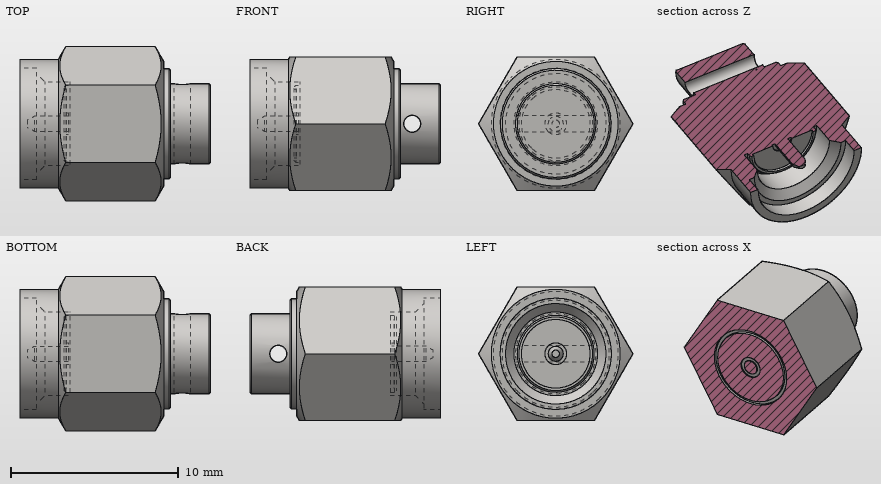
import cadquery as cq
import math


hex_start = 2.3
hex_end = 8.6
flange_end = 9.0
total_length = 11.4

collar_diameter = 7.7
hex_across_flats = 8.0
hex_across_corners = hex_across_flats / math.cos(math.radians(30))
hex_chamfer_angle = 30.0
hex_front_face_diameter = collar_diameter
hex_rear_face_diameter = 7.45
envelope_clearance = 0.1
flange_diameter = 6.6
barrel_diameter = 4.8
edge_chamfer = 0.1

cross_hole_diameter = 1.0
cross_hole_x = 9.7

mouth_diameter = 6.65
mouth_depth = 1.0
lead_in_diameter = 6.0
bore_diameter = 5.0
lead_in_length = (lead_in_diameter - bore_diameter) / 2
bore_depth = 3.0

ring_face_x = 2.65
ring_diameter = 4.6
ring_chamfer = 0.1
insulator_diameter = 4.1
insulator_recess = 0.15
pin_clearance_diameter = 1.3
pin_clearance_depth = 0.1
pin_diameter = 0.9
pin_tip_diameter = 0.44
pin_tip_x = 0.45
pin_shoulder_x = 0.88


def cylinder(diameter, start, end):
    """Cylinder on the X axis between two stations."""
    return cq.Workplane("YZ", origin=(start, 0, 0)).circle(diameter / 2).extrude(end - start)


def revolve_about_axis(points):
    """Solid of revolution about X from a closed outline of (x, radius) points."""
    return cq.Workplane("XY").polyline(points).close().revolve(360, (0, 0, 0), (1, 0, 0))


def make_hex():
    """Hexagon with flats facing up and down and conically chamfered ends."""
    prism = (
        cq.Workplane("YZ", origin=(hex_start, 0, 0))
        .polygon(6, hex_across_corners)
        .extrude(hex_end - hex_start)
    )
    slope = math.tan(math.radians(hex_chamfer_angle))
    envelope_radius = hex_across_corners / 2 + envelope_clearance
    front_radius = hex_front_face_diameter / 2
    rear_radius = hex_rear_face_diameter / 2
    envelope = revolve_about_axis([
        (hex_start, 0),
        (hex_start, front_radius),
        (hex_start + (envelope_radius - front_radius) * slope, envelope_radius),
        (hex_end - (envelope_radius - rear_radius) * slope, envelope_radius),
        (hex_end, rear_radius),
        (hex_end, 0),
    ])
    return prism.intersect(envelope)


def make_rear_barrel():
    """Flange and barrel behind the hexagon, with the cross hole along Y."""
    flange = cylinder(flange_diameter, hex_end, flange_end).faces(">X").chamfer(edge_chamfer)
    barrel = cylinder(barrel_diameter, hex_end, total_length).faces(">X").chamfer(edge_chamfer)
    cross_hole = (
        cq.Workplane("XZ")
        .center(cross_hole_x, 0)
        .circle(cross_hole_diameter / 2)
        .extrude(barrel_diameter, both=True)
    )
    return flange.union(barrel).cut(cross_hole)


def make_socket():
    """Stepped cavity: mouth, conical lead-in and bore."""
    return revolve_about_axis([
        (0, 0),
        (0, mouth_diameter / 2),
        (mouth_depth, mouth_diameter / 2),
        (mouth_depth, lead_in_diameter / 2),
        (mouth_depth + lead_in_length, bore_diameter / 2),
        (bore_depth, bore_diameter / 2),
        (bore_depth, 0),
    ])


def make_contact():
    """Chamfered ring around a recessed insulator, with a tapered pin at the centre."""
    insulator_x = ring_face_x + insulator_recess
    clearance_floor_x = insulator_x + pin_clearance_depth
    ring = cylinder(ring_diameter, ring_face_x, bore_depth).faces("<X").chamfer(ring_chamfer)
    recess = cylinder(insulator_diameter, ring_face_x, insulator_x)
    clearance = cylinder(pin_clearance_diameter, insulator_x, clearance_floor_x)
    pin = revolve_about_axis([
        (pin_tip_x, 0),
        (pin_tip_x, pin_tip_diameter / 2),
        (pin_shoulder_x, pin_diameter / 2),
        (bore_depth, pin_diameter / 2),
        (bore_depth, 0),
    ])
    return ring.cut(recess).cut(clearance).union(pin)


collar = cylinder(collar_diameter, 0, hex_start)
body = collar.union(make_hex()).union(make_rear_barrel())
result = body.cut(make_socket()).union(make_contact())